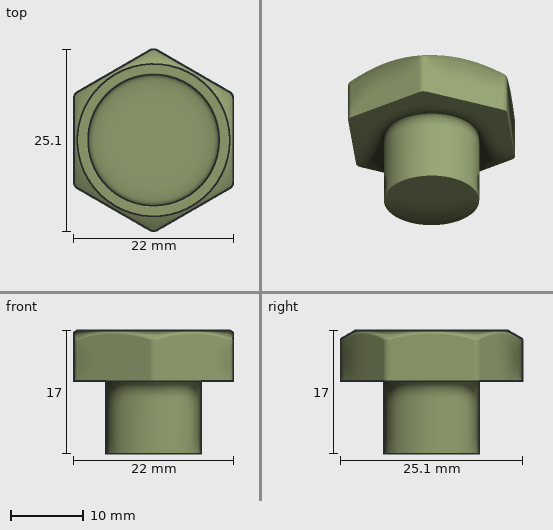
import cadquery as cq
import math

across_flats = 22.0
across_rounded_corners = 25.1
corner_stretch = 1 / math.cos(math.pi / 6)
sharp_across_corners = across_flats * corner_stretch
corner_radius = (sharp_across_corners - across_rounded_corners) / (2 * (corner_stretch - 1))
head_height = 7.0
edge_fillet = 0.3

bevel_top_diameter = 21.03
bevel_angle = 30

recess_diameter = 18.1
recess_depth = 1.0
recess_mouth_fillet = 0.25

stem_diameter = 13.17
stem_length = 10.0


def bevel_cone():
    """Solid of revolution that limits the head to the bevelled shape."""
    top_radius = bevel_top_diameter / 2
    outer_radius = across_flats
    drop = (outer_radius - top_radius) * math.tan(math.radians(bevel_angle))
    profile = (
        cq.Workplane("XZ")
        .moveTo(0, head_height)
        .lineTo(top_radius, head_height)
        .lineTo(outer_radius, head_height - drop)
        .lineTo(outer_radius, -head_height)
        .lineTo(0, -head_height)
        .close()
    )
    return profile.revolve(360, (0, 0, 0), (0, 1, 0))


def hex_head():
    """Hexagon with corners on the Y axis, rounded edges and a bevelled top."""
    prism = (
        cq.Workplane("XY")
        .polygon(6, sharp_across_corners)
        .extrude(head_height)
        .rotate((0, 0, 0), (0, 0, 1), 30)
        .edges("|Z")
        .fillet(corner_radius)
    )
    head = prism.intersect(bevel_cone())
    rim = head.faces("%CONE").edges().filter(
        lambda edge: edge.Center().z < head_height - edge_fillet / 2
    )
    return head.newObject(rim.vals()).fillet(edge_fillet)


def cut_recess(head):
    """Cut the blind round recess and round over its mouth."""
    pocket = (
        cq.Workplane("XY", origin=(0, 0, head_height))
        .circle(recess_diameter / 2)
        .extrude(-recess_depth)
    )
    mouth = head.cut(pocket).faces(">Z").edges(cq.selectors.RadiusNthSelector(0))
    return mouth.fillet(recess_mouth_fillet)


stem = cq.Workplane("XY").circle(stem_diameter / 2).extrude(-stem_length)
result = cut_recess(hex_head()).union(stem)